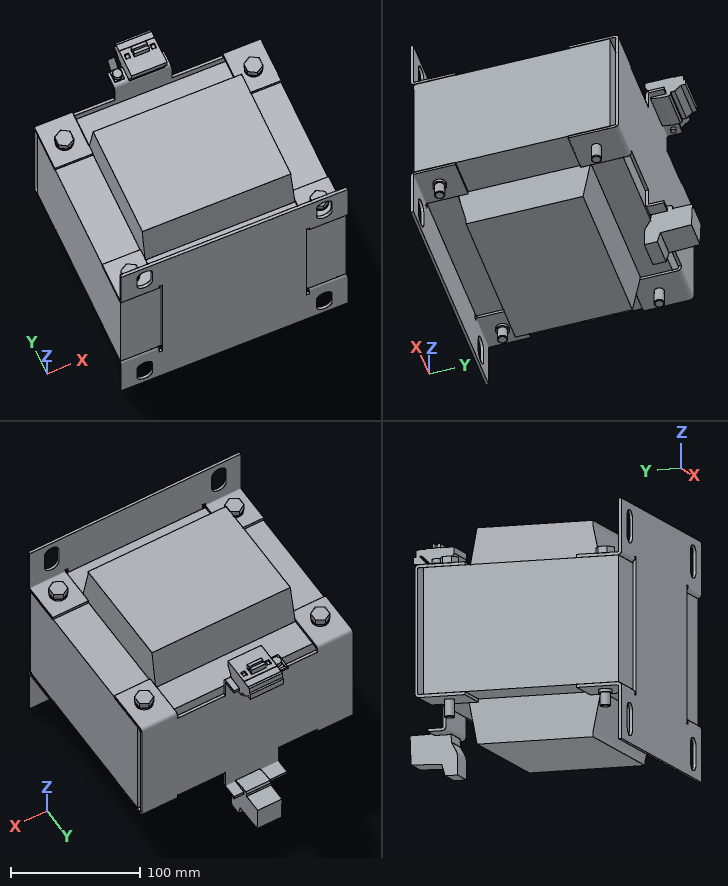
import cadquery as cq
import math


sheet = 2.5
bend_inner_radius = 1.0
bend_radius = bend_inner_radius + sheet
half_width = 96.0

core_half_height = 50.0
core_side_inset = 0.4
core_half_width = half_width - core_side_inset
core_front = sheet
core_back = 162.2
coil_half_height = 85.5
coil_top_half_width = 62.8
coil_base_half_width = 63.4
coil_top_front = 34.7
coil_top_back = 129.9
coil_base_front = 28.0
coil_base_back = 136.3
coil_front_lip = 4.0
tab_outer_z = core_half_height + sheet

plate_half_height = 95.0
slot_offset = 76.0
slot_length = 26.0
slot_width = 13.0
tab_inner_x = 63.5
relief_width = 2.5
relief_height = 1.0
front_tab_length = 36.7

bracket_back = 169.5
bracket_front = bracket_back - sheet
web_half_height = 47.2
back_tab_length = 41.2
arm_left_x = -28.2
arm_right_x = 20.2
flange_end = 182.0
flange_outer_z = 66.0

bolt_x = 80.0
front_bolt_y = 18.7
back_bolt_y = 146.3
shank_radius = 4.0
shank_chamfer = 0.6
head_sides = 6
head_flats = 13.0
head_height = 5.4
washer_radius = 7.1
washer_height = 1.7
front_bolt_end = -65.4
back_bolt_end = -66.4
nut_radius = 5.3
nut_height = 2.5

upper_terminal_half_width = 15.1
lower_terminal_half_width = 11.1
terminal_top = 81.3
rib_half_length = 6.4
rib_width = 2.6
rib_height = 5.1
rib_centers_y = (184.5, 180.4)
pocket_x = 10.9
pocket_y = 182.0
pocket_width = 3.4
pocket_length = 4.2
pocket_depth = 2.0

earth_x = -21.9
earth_y = 176.4
earth_head_radius = 3.8
earth_head_height = 3.6
earth_shank_radius = 2.1
earth_screw_end = 60.9
lug_thickness = 1.0
lug_width = 8.2
lug_front = 172.0
lug_bend = 182.0
blade_width = 6.2
blade_length = 9.5
blade_angle = 45.0


def block(x0, x1, y0, y1, z0, z1):
    """Axis-aligned box between two corners."""
    return cq.Workplane("XY").box(x1 - x0, y1 - y0, z1 - z0, centered=False).translate((x0, y0, z0))


def cylinder(radius, x, y, z0, z1):
    """Vertical cylinder."""
    return cq.Workplane("XY", origin=(x, y, z0)).circle(radius).extrude(z1 - z0)


def extrude_yz(points, x0, x1):
    """Prism along X with a straight-sided outline of (y, z) points."""
    return cq.Workplane("YZ", origin=(x0, 0, 0)).polyline(points).close().extrude(x1 - x0)


def bent_strip(x0, x1, corner, y_leg, z_leg):
    """Right-angle bent sheet; corner is the sharp outer (y, z) corner and the legs are signed lengths."""
    y_sign = math.copysign(1, y_leg)
    z_sign = math.copysign(1, z_leg)

    def at(along_y, along_z):
        return corner[0] + y_sign * along_y, corner[1] + z_sign * along_z

    def on_bend(radius):
        middle = bend_radius - radius * math.sqrt(0.5)
        return at(middle, middle)

    return (
        cq.Workplane("YZ", origin=(x0, 0, 0))
        .moveTo(*at(abs(y_leg), 0))
        .lineTo(*at(bend_radius, 0))
        .threePointArc(on_bend(bend_radius), at(0, bend_radius))
        .lineTo(*at(0, abs(z_leg)))
        .lineTo(*at(sheet, abs(z_leg)))
        .lineTo(*at(sheet, bend_radius))
        .threePointArc(on_bend(bend_inner_radius), at(bend_radius, sheet))
        .lineTo(*at(abs(y_leg), sheet))
        .close()
        .extrude(x1 - x0)
    )


def both_edges(corner, y_leg, z_leg):
    """The same bent strip along the left and right edges."""
    left = bent_strip(-half_width, -tab_inner_x, corner, y_leg, z_leg)
    return left.union(left.mirror("YZ"))


def make_core_and_coil():
    """Core block with a tapered coil end above and below it."""
    core = block(
        -core_half_width, core_half_width,
        core_front, core_back,
        -core_half_height, core_half_height,
    )
    side_outline = [
        (coil_base_front, core_half_height),
        (coil_top_front, coil_half_height - coil_front_lip),
        (coil_top_front, coil_half_height),
        (coil_top_back, coil_half_height),
        (coil_base_back, core_half_height),
    ]
    front_outline = [
        (-coil_base_half_width, core_half_height),
        (-coil_top_half_width, coil_half_height),
        (coil_top_half_width, coil_half_height),
        (coil_base_half_width, core_half_height),
    ]
    side_prism = extrude_yz(side_outline, -coil_base_half_width, coil_base_half_width)
    front_prism = cq.Workplane("XZ").polyline(front_outline).close().extrude(-core_back)
    coil_end = side_prism.intersect(front_prism)
    return core.union(coil_end).union(coil_end.mirror("XY"))


def make_mounting_plate():
    """Front plate with slotted corners, from which four tabs are bent back over the core."""
    center = block(-tab_inner_x, tab_inner_x, 0, sheet, -plate_half_height, plate_half_height)
    relief_x = tab_inner_x - relief_width
    relief_z = core_half_height + bend_radius + relief_height
    relief = block(relief_x, tab_inner_x, 0, sheet, -relief_z, relief_z)
    center = center.cut(relief).cut(relief.mirror("YZ"))

    corners = both_edges((0, core_half_height), front_tab_length, plate_half_height - core_half_height)
    plate = center.union(corners).union(corners.mirror("XY"))

    slot_positions = [(x, z) for x in (-slot_offset, slot_offset) for z in (-slot_offset, slot_offset)]
    slots = (
        cq.Workplane("XZ")
        .pushPoints(slot_positions)
        .slot2D(slot_length, slot_width, 90)
        .extrude(-sheet)
    )
    return plate.cut(slots)


def make_rear_bracket():
    """Rear plate with four clamping tabs and two arms that end in terminal flanges."""
    center = block(-tab_inner_x, tab_inner_x, bracket_front, bracket_back, -web_half_height, web_half_height)
    edges = both_edges((bracket_back, tab_outer_z), -back_tab_length, -tab_outer_z)
    arm = bent_strip(
        arm_left_x, arm_right_x, (bracket_front, flange_outer_z), flange_end - bracket_front, -flange_outer_z
    )
    upper = edges.union(arm)
    return center.union(upper).union(upper.mirror("XY"))


def make_bolt(x, y, end_z):
    """Hexagon-head bolt whose head sits on a washer on the upper tab."""
    washer_top = tab_outer_z + washer_height
    shank = cylinder(shank_radius, x, y, end_z, tab_outer_z).faces("<Z").chamfer(shank_chamfer)
    washer = cylinder(washer_radius, x, y, tab_outer_z, washer_top)
    head = (
        cq.Workplane("XY", origin=(x, y, washer_top))
        .polygon(head_sides, head_flats, circumscribed=True)
        .extrude(head_height)
    )
    return shank.union(washer).union(head)


def make_bolts():
    """Four bolts; the front pair carries nuts below the lower tabs."""
    bolts = cq.Workplane("XY")
    for x in (-bolt_x, bolt_x):
        bolts = bolts.union(make_bolt(x, front_bolt_y, front_bolt_end))
        bolts = bolts.union(make_bolt(x, back_bolt_y, back_bolt_end))
        bolts = bolts.union(cylinder(nut_radius, x, front_bolt_y, -tab_outer_z - nut_height, -tab_outer_z))
    return bolts


def make_upper_terminal():
    """Terminal block clipped around the upper flange, with two ribs and two pockets on top."""
    outline = [
        (164.7, terminal_top),
        (188.6, terminal_top),
        (188.6, 80.8),
        (194.6, 80.8),
        (194.6, 80.5),
        (196.4, 80.5),
        (196.4, 75.1),
        (198.1, 75.1),
        (198.1, 69.2),
        (194.2, 69.2),
        (189.2, 64.3),
        (185.9, 64.3),
        (185.9, 61.8),
        (184.3, 60.4),
        (178.5, 60.4),
        (169.0, 62.2),
        (168.7, 69.5),
        (164.7, 76.2),
    ]
    body = extrude_yz(outline, -upper_terminal_half_width, upper_terminal_half_width)
    for y in rib_centers_y:
        body = body.union(
            block(
                -rib_half_length, rib_half_length,
                y - rib_width / 2, y + rib_width / 2,
                terminal_top, terminal_top + rib_height,
            )
        )
    pockets = (
        cq.Workplane("XY", origin=(0, pocket_y, terminal_top))
        .pushPoints([(-pocket_x, 0), (pocket_x, 0)])
        .rect(pocket_width, pocket_length)
        .extrude(-pocket_depth)
    )
    return body.cut(pockets)


def make_lower_terminal():
    """Plain terminal block clipped around the lower flange."""
    outline = [
        (202.4, -64.8),
        (186.1, -64.6),
        (186.1, -62.0),
        (184.7, -60.5),
        (178.5, -60.5),
        (169.0, -62.3),
        (168.2, -72.2),
        (164.0, -80.1),
        (163.2, -84.3),
        (163.2, -98.3),
        (173.8, -98.3),
        (176.3, -89.0),
        (201.6, -88.1),
    ]
    return extrude_yz(outline, -lower_terminal_half_width, lower_terminal_half_width)


def make_earth_screw():
    """Earth screw clamping a lug with an upward-slanting blade on the upper flange."""
    lug_top = flange_outer_z + lug_thickness
    lug = block(
        earth_x - lug_width / 2, earth_x + lug_width / 2,
        lug_front, lug_bend,
        flange_outer_z, lug_top,
    )
    blade = block(
        earth_x - blade_width / 2, earth_x + blade_width / 2,
        lug_bend - lug_thickness, lug_bend + blade_length,
        flange_outer_z, lug_top,
    ).rotate((0, lug_bend, lug_top), (1, lug_bend, lug_top), blade_angle)
    head = cylinder(earth_head_radius, earth_x, earth_y, lug_top, lug_top + earth_head_height)
    shank = cylinder(earth_shank_radius, earth_x, earth_y, earth_screw_end, lug_top)
    return lug.union(blade).union(head).union(shank)


result = (
    make_core_and_coil()
    .union(make_mounting_plate())
    .union(make_rear_bracket())
    .union(make_bolts())
    .union(make_upper_terminal())
    .union(make_lower_terminal())
    .union(make_earth_screw())
)